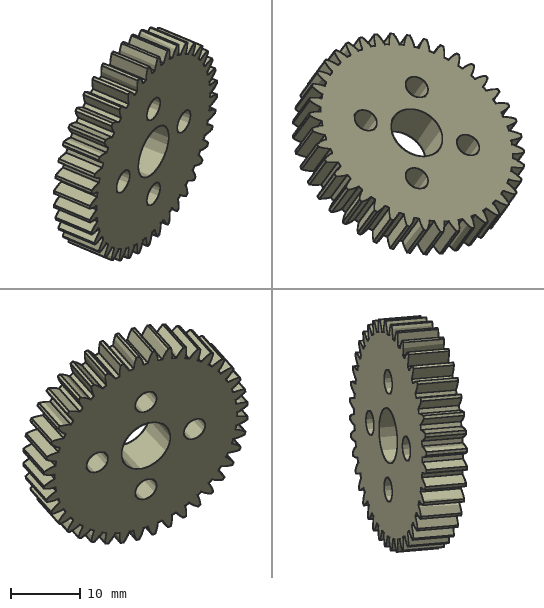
import cadquery as cq
import math

face_width = 6.2
tooth_count = 40
module = 0.8

root_thickness = 1.635
middle_thickness = 1.22
tip_thickness = 0.49

bore_diameter = 8.0
bolt_hole_diameter = 3.5
bolt_hole_count = 4
bolt_circle_radius = 8.0

addendum = module
dedendum = 1.25 * module
pitch_radius = module * tooth_count / 2
tip_radius = pitch_radius + addendum
root_radius = pitch_radius - dedendum
middle_radius = (root_radius + tip_radius) / 2

tooth_pitch_angle = 2 * math.pi / tooth_count
root_half_angle = root_thickness / (2 * root_radius)
middle_half_angle = middle_thickness / (2 * middle_radius)
tip_half_angle = tip_thickness / (2 * tip_radius)

first_tooth_angle = tooth_pitch_angle / 2


def polar(radius, angle):
    return (radius * math.cos(angle), radius * math.sin(angle))


def add_tooth(outline, center):
    """Continue the outline over one tooth and the root land that follows it."""
    gap_center = center + tooth_pitch_angle / 2
    next_center = center + tooth_pitch_angle

    rising_flank_middle = polar(middle_radius, center - middle_half_angle)
    tip_start = polar(tip_radius, center - tip_half_angle)
    tip_middle = polar(tip_radius, center)
    tip_end = polar(tip_radius, center + tip_half_angle)
    falling_flank_middle = polar(middle_radius, center + middle_half_angle)
    land_start = polar(root_radius, center + root_half_angle)
    land_middle = polar(root_radius, gap_center)
    land_end = polar(root_radius, next_center - root_half_angle)

    return (
        outline.threePointArc(rising_flank_middle, tip_start)
        .threePointArc(tip_middle, tip_end)
        .threePointArc(falling_flank_middle, land_start)
        .threePointArc(land_middle, land_end)
    )


def gear_blank():
    start = polar(root_radius, first_tooth_angle - root_half_angle)
    outline = cq.Workplane("YZ").moveTo(*start)
    for i in range(tooth_count):
        outline = add_tooth(outline, first_tooth_angle + i * tooth_pitch_angle)
    return outline.close().extrude(face_width)


def cut_bore(body):
    bore = cq.Workplane("YZ").circle(bore_diameter / 2).extrude(face_width)
    return body.cut(bore)


def cut_bolt_holes(body):
    holes = (
        cq.Workplane("YZ")
        .polarArray(bolt_circle_radius, 0, 360, bolt_hole_count)
        .circle(bolt_hole_diameter / 2)
        .extrude(face_width)
    )
    return body.cut(holes)


result = cut_bolt_holes(cut_bore(gear_blank()))